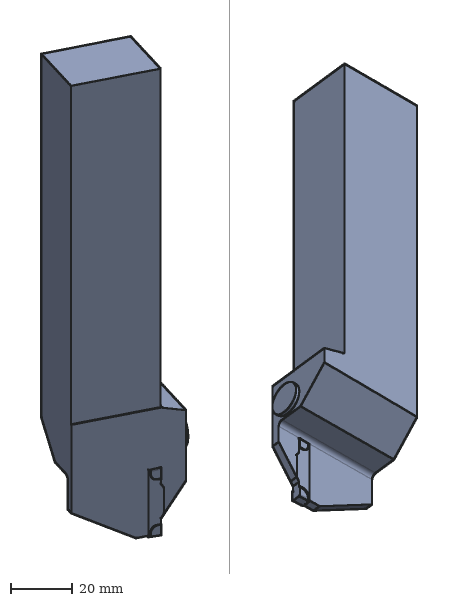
import cadquery as cq

TOTAL_HEIGHT = 171.4
SHANK_DEPTH = 31.9
SHANK_RIGHT = 25.4
FLANK_LEAN = 0.3

HEAD_DEPTH = 40.8
HEAD_RIGHT = 25.7
HEAD_TOP = 47.0
HEAD_SHOULDER = 44.2
SHOULDER_FILLET = 1.0
SLOPE_TOP = 38.0
SLOPE_RUN = 11.8
UNDERSIDE = 26.7
BLADE_THICKNESS = 3.0
BLADE_FILLET = 1.7
BLADE_BACK_LOW = 18.3
BLADE_FRONT_LOW = 14.4
BLADE_BOTTOM = 0.7
BLADE_NOSE = 23.0
BLADE_LEFT = HEAD_RIGHT - BLADE_THICKNESS

BOSS_DIAMETER = 11.8
BOSS_HEIGHT = 1.4
BOSS_X = 18.3
BOSS_Z = 33.5

INSERT_LENGTH = 25.0
INSERT_BACK = SHANK_DEPTH
INSERT_FRONT = 27.5
RIDGE_HEIGHT = 1.0
RIDGE_START = 6.2
RIDGE_RUN = 1.5
END_LIFT = 0.2
CUTTING_OVERHANG = 0.3
CUTTING_LENGTH = 4.1
CUTTING_DEPTH = 3.8
CUTTING_RADIUS = 2.4
TIP_RADIUS = 0.5


def extrude_along_x(profile, left, right):
    """Extrude a closed YZ outline from X = left to X = right."""
    return profile.extrude(right - left).translate((left, 0, 0))


def insert_core():
    """The part of the insert that is flush with both sides of the blade."""
    ridge_back = INSERT_BACK + RIDGE_HEIGHT
    profile = cq.Workplane("YZ").polyline([
        (INSERT_BACK, 0),
        (INSERT_BACK, RIDGE_START),
        (ridge_back, RIDGE_START + RIDGE_RUN),
        (ridge_back, INSERT_LENGTH - RIDGE_START - RIDGE_RUN),
        (INSERT_BACK, INSERT_LENGTH - RIDGE_START),
        (INSERT_BACK, INSERT_LENGTH),
        (INSERT_FRONT, INSERT_LENGTH - END_LIFT),
        (INSERT_FRONT, END_LIFT),
    ]).close()
    return extrude_along_x(profile, BLADE_LEFT, HEAD_RIGHT)


def cutting_end():
    """The wide cutting end at the bottom of the insert, rounded at its inner corner."""
    front = INSERT_BACK - CUTTING_DEPTH
    front_lift = END_LIFT * CUTTING_DEPTH / (INSERT_BACK - INSERT_FRONT)
    profile = (
        cq.Workplane("YZ")
        .moveTo(INSERT_BACK, 0)
        .lineTo(INSERT_BACK, CUTTING_LENGTH)
        .lineTo(front + CUTTING_RADIUS, CUTTING_LENGTH)
        .radiusArc((front, CUTTING_LENGTH - CUTTING_RADIUS), -CUTTING_RADIUS)
        .lineTo(front, front_lift)
        .close()
    )
    end = extrude_along_x(profile, BLADE_LEFT - CUTTING_OVERHANG, HEAD_RIGHT + CUTTING_OVERHANG)
    return end.faces("<Z").edges("<X or >X").fillet(TIP_RADIUS)


def make_insert():
    lower_end = cutting_end()
    upper_end = lower_end.mirror("XY", (0, 0, INSERT_LENGTH / 2))
    return insert_core().union(lower_end).union(upper_end)


def shank_and_head():
    """The side outline of the holder, trimmed to its width seen from the front."""
    side = extrude_along_x(
        cq.Workplane("YZ").polyline([
            (0, BLADE_FRONT_LOW),
            (0, TOTAL_HEIGHT),
            (SHANK_DEPTH, TOTAL_HEIGHT),
            (SHANK_DEPTH, HEAD_TOP),
            (HEAD_DEPTH, HEAD_SHOULDER),
            (HEAD_DEPTH, BLADE_BACK_LOW),
            (INSERT_BACK, RIDGE_START),
            (INSERT_BACK, BLADE_BOTTOM),
            (BLADE_NOSE, BLADE_BOTTOM),
        ]).close(),
        0, HEAD_RIGHT,
    )
    side = side.edges(
        cq.selectors.NearestToPointSelector((HEAD_RIGHT / 2, SHANK_DEPTH, HEAD_TOP))
    ).fillet(SHOULDER_FILLET)
    front = (
        cq.Workplane("XZ")
        .moveTo(0, TOTAL_HEIGHT)
        .lineTo(SHANK_RIGHT, TOTAL_HEIGHT)
        .lineTo(SHANK_RIGHT, HEAD_TOP)
        .lineTo(HEAD_RIGHT, HEAD_TOP)
        .lineTo(HEAD_RIGHT, 0)
        .lineTo(BLADE_LEFT, 0)
        .lineTo(BLADE_LEFT, UNDERSIDE - BLADE_FILLET)
        .radiusArc((BLADE_LEFT - BLADE_FILLET, UNDERSIDE), -BLADE_FILLET)
        .lineTo(SLOPE_RUN, UNDERSIDE)
        .lineTo(0, SLOPE_TOP)
        .close()
        .extrude(-HEAD_DEPTH)
    )
    return side.intersect(front)


def flank_wedge():
    """The thin wedge removed from the left flank, thickest at the front."""
    return (
        cq.Workplane("XY")
        .polyline([(0, 0), (FLANK_LEAN, 0), (0, HEAD_DEPTH)])
        .close()
        .extrude(TOTAL_HEIGHT)
    )


def boss():
    return (
        cq.Workplane("XZ", origin=(BOSS_X, HEAD_DEPTH, BOSS_Z))
        .circle(BOSS_DIAMETER / 2)
        .extrude(-BOSS_HEIGHT)
    )


def make_holder(seated_insert):
    """The holder, with a seat through its blade that matches the insert."""
    return shank_and_head().cut(flank_wedge()).union(boss()).cut(seated_insert)


insert = make_insert()
holder = make_holder(insert)

result = cq.Compound.makeCompound([holder.solids().val(), insert.solids().val()])